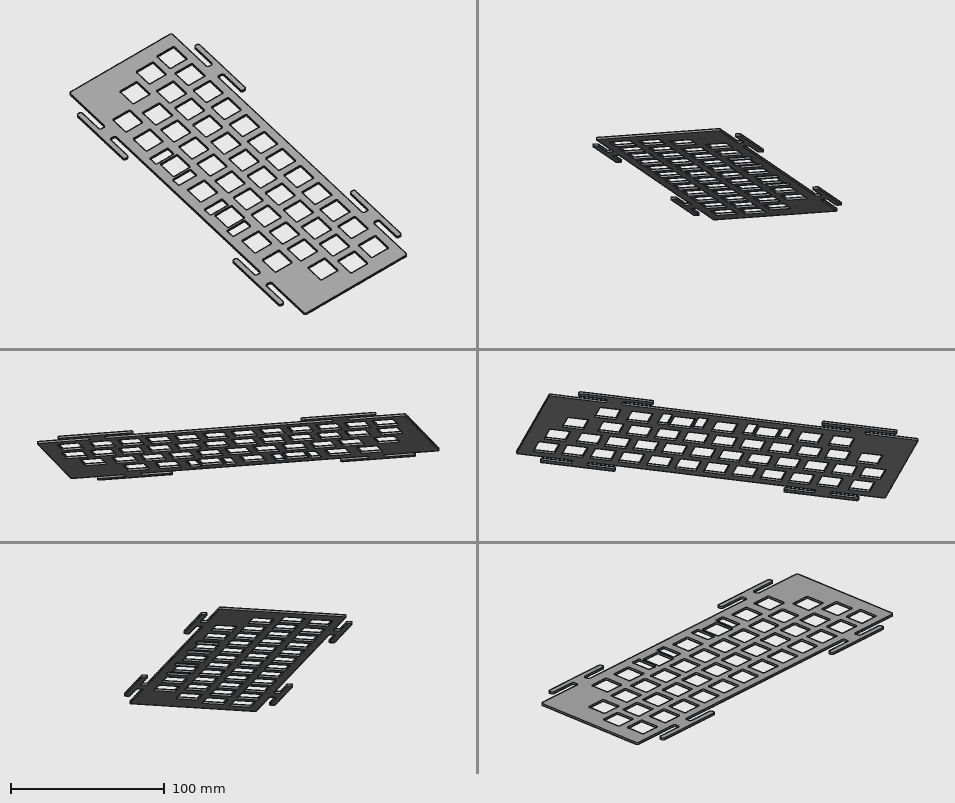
import cadquery as cq

plate_length = 248.0
plate_depth = 84.5
thickness = 1.5
outline_corner_radius = 1.2

overall_depth = 101.0
tab_centres_x = (-80.8, 82.8)
bar_length = 50.0
bar_width = 3.7
neck_width = 10.5

key_rows = [
    (0.0, [1.0] * 11 + [1.25]),
    (0.0, [1.25] + [1.0] * 11),
    (0.25, [1.5] + [1.0] * 9 + [1.25]),
    (1.25, [1.25, 1.0, 2.0, 1.0, 2.0, 1.0, 1.25]),
]
layout_length = 233.4
layout_centre_x = 0.12
layout_centre_y = 0.8
key_pitch = layout_length / sum(key_rows[0][1])

cutout_size = 14.1
cutout_corner_radius = 0.62

stabilised_key_width = 2.0
slot_width = 6.7
slot_height = 15.0
slot_offset_x = 12.0
slot_drop = 1.7


def rectangle_prism(width, depth, x, y):
    return cq.Workplane("XY").center(x, y).rect(width, depth).extrude(thickness)


def rounded_openings(centres, width, depth):
    """Solid cutters with rounded corners for a set of openings."""
    openings = cq.Workplane("XY").pushPoints(centres).rect(width, depth).extrude(thickness)
    return openings.edges("|Z").fillet(cutout_corner_radius)


def mounting_tab(x, side):
    """Bar and neck on the +Y (side = 1) or -Y (side = -1) edge of the plate."""
    bar_distance = (overall_depth - bar_width) / 2
    bar = rectangle_prism(bar_length, bar_width, x, side * bar_distance)
    neck = rectangle_prism(neck_width, bar_distance, x, side * bar_distance / 2)
    return bar.union(neck)


def key_positions():
    """Centre points of all keys and of the wide keys that carry stabilisers."""
    all_keys = []
    wide_keys = []
    middle_row = (len(key_rows) - 1) / 2
    for row, (indent, widths) in enumerate(key_rows):
        y = layout_centre_y + (middle_row - row) * key_pitch
        left = layout_centre_x - layout_length / 2 + indent * key_pitch
        for width in widths:
            centre = (left + width * key_pitch / 2, y)
            all_keys.append(centre)
            if width == stabilised_key_width:
                wide_keys.append(centre)
            left += width * key_pitch
    return all_keys, wide_keys


outline = rectangle_prism(plate_length, plate_depth, 0, 0)
for tab_x in tab_centres_x:
    for tab_side in (1, -1):
        outline = outline.union(mounting_tab(tab_x, tab_side))
outline = outline.edges("|Z").fillet(outline_corner_radius)

key_centres, wide_key_centres = key_positions()
slot_centres = [
    (x + side * slot_offset_x, y - slot_drop)
    for x, y in wide_key_centres
    for side in (-1, 1)
]
cutouts = rounded_openings(key_centres, cutout_size, cutout_size)
slots = rounded_openings(slot_centres, slot_width, slot_height)

result = outline.cut(cutouts).cut(slots)